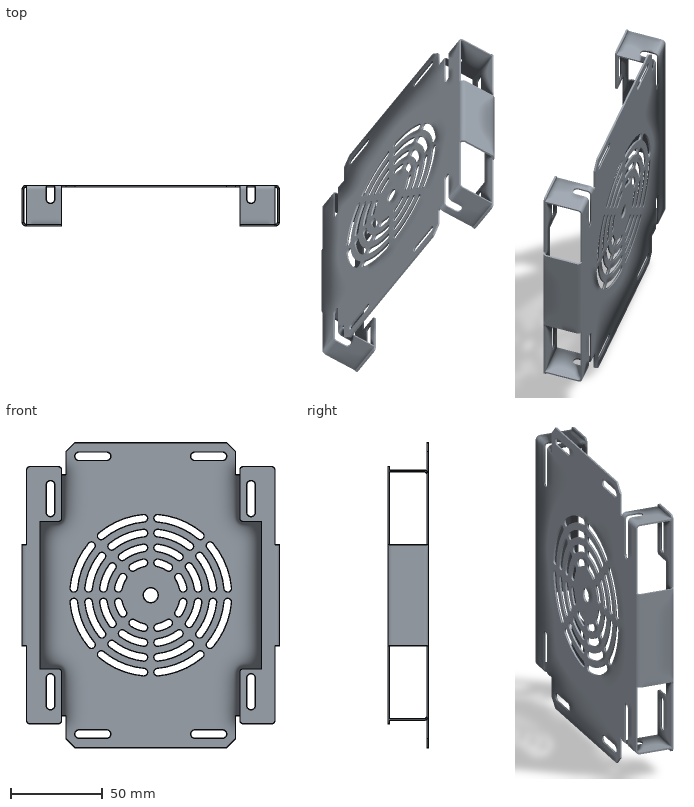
import cadquery as cq
import math

sheet = 1.0
bend_outer = 2.4
bend_inner = bend_outer - sheet

width = 140.0
depth = 22.2
plate_height = 166.0
plate_width = 92.4
plate_chamfer = 5.0

end_flange_height = 136.0
front_flange_height = 140.0
side_wall_height = 55.0
flange_inner_x = -48.4
recess_x = -60.2
recess_height = 80.0
flange_corner_radius = 2.0

bend_x = -(width / 2 - bend_outer)
bend_z = end_flange_height / 2 - bend_outer
flange_width = flange_inner_x - bend_x
flange_inner_y = -(depth - sheet)

centre_hole_diameter = 8.0
vent_ring_count = 4
vent_ring_pitch = 8.0
first_vent_radius = 18.0
vent_width = 4.0
spoke_width = 3.5
vents_per_ring = 8

slot_width = 4.5
slot_straight_length = 15.0
slot_length = slot_straight_length + slot_width
plate_slot_x = 31.5
plate_slot_z = 75.5
flange_slot_x = -54.5
flange_slot_z = 52.5
bent_slot_depth = 9.8


def mirrored(body, plane):
    """A body joined with its mirror image."""
    return body.union(body.mirror(plane))


def arc_point(centre, radius, degrees):
    """Point on a circle in sketch coordinates."""
    angle = math.radians(degrees)
    return centre[0] + radius * math.cos(angle), centre[1] + radius * math.sin(angle)


def back_plate():
    """Plate with chamfered corners, widened between the bends of the side channels."""
    tall_part = (
        cq.Workplane("XZ")
        .rect(plate_width, plate_height)
        .extrude(sheet)
        .edges("|Y")
        .chamfer(plate_chamfer)
    )
    wide_part = cq.Workplane("XZ").rect(-2 * bend_x, 2 * bend_z).extrude(sheet)
    return tall_part.union(wide_part)


def end_flange():
    """Top flange: bends forward off the plate and butts against the front flange."""
    centre = (-bend_outer, bend_z)
    outer_z = bend_z + bend_outer
    inner_z = bend_z + bend_inner
    return (
        cq.Workplane("YZ", origin=(bend_x, 0, 0))
        .moveTo(*arc_point(centre, bend_outer, 0))
        .threePointArc(arc_point(centre, bend_outer, 45), arc_point(centre, bend_outer, 90))
        .lineTo(flange_inner_y, outer_z)
        .lineTo(flange_inner_y, inner_z)
        .lineTo(*arc_point(centre, bend_inner, 90))
        .threePointArc(arc_point(centre, bend_inner, 45), arc_point(centre, bend_inner, 0))
        .close()
        .extrude(flange_width)
    )


def side_wall():
    """Short outer wall with a bend at the plate and a bend at the front flange."""
    back = (bend_x, -bend_outer)
    front = (bend_x, -depth + bend_outer)
    return (
        cq.Workplane("XY", origin=(0, 0, -side_wall_height / 2))
        .moveTo(*arc_point(back, bend_outer, 90))
        .threePointArc(arc_point(back, bend_outer, 135), arc_point(back, bend_outer, 180))
        .lineTo(*arc_point(front, bend_outer, 180))
        .threePointArc(arc_point(front, bend_outer, 225), arc_point(front, bend_outer, 270))
        .lineTo(*arc_point(front, bend_inner, 270))
        .threePointArc(arc_point(front, bend_inner, 225), arc_point(front, bend_inner, 180))
        .lineTo(*arc_point(back, bend_inner, 180))
        .threePointArc(arc_point(back, bend_inner, 135), arc_point(back, bend_inner, 90))
        .close()
        .extrude(side_wall_height)
    )


def front_tab():
    """Upper end of the front flange: a slotted tab with rounded corners."""
    height = (front_flange_height - recess_height) / 2
    centre_z = (front_flange_height + recess_height) / 4
    tab = (
        cq.Workplane("XZ", origin=(bend_x + flange_width / 2, flange_inner_y, centre_z))
        .rect(flange_width, height)
        .extrude(sheet)
    )
    tab = tab.edges("|Y and >Z").fillet(flange_corner_radius)
    tab = tab.edges("|Y and >X and <Z").fillet(flange_corner_radius)
    slot = (
        cq.Workplane("XZ", origin=(flange_slot_x, flange_inner_y, flange_slot_z))
        .slot2D(slot_length, slot_width, 90)
        .extrude(sheet)
    )
    return tab.cut(slot)


def front_strip():
    """Narrow middle of the front flange, joining the two tabs."""
    strip_width = recess_x - bend_x
    return (
        cq.Workplane("XZ", origin=(bend_x + strip_width / 2, flange_inner_y, 0))
        .rect(strip_width, recess_height)
        .extrude(sheet)
    )


def bent_slot():
    """Cutter for the slot that runs up the plate, round the bend and into the end flange."""
    slot_bottom = flange_slot_z - slot_length / 2
    plate_part_length = 2 * (end_flange_height / 2 - slot_bottom)
    plate_part = (
        cq.Workplane("XZ", origin=(flange_slot_x, 0, end_flange_height / 2))
        .slot2D(plate_part_length, slot_width, 90)
        .extrude(bend_outer)
    )
    flange_part = (
        cq.Workplane("XY", origin=(flange_slot_x, 0, bend_z))
        .slot2D(2 * bent_slot_depth, slot_width, 90)
        .extrude(bend_outer)
    )
    return plate_part.union(flange_part)


def plate_slots():
    """Cutters for the four slots near the plate corners."""
    return (
        cq.Workplane("XZ")
        .rect(2 * plate_slot_x, 2 * plate_slot_z, forConstruction=True)
        .vertices()
        .slot2D(slot_length, slot_width)
        .extrude(sheet)
    )


def vent(radius, start_angle):
    """Cutter for one arc slot with round ends, lying between two neighbouring spokes."""
    end_radius = vent_width / 2
    end_offset = math.degrees(math.asin((spoke_width / 2 + end_radius) / radius))
    sector = 360 / vents_per_ring
    first = start_angle + end_offset
    last = start_angle + sector - end_offset
    middle = start_angle + sector / 2
    hub = (0, 0)
    inner = radius - end_radius
    outer = radius + end_radius
    first_tip = arc_point(arc_point(hub, radius, first), end_radius, first - 90)
    last_tip = arc_point(arc_point(hub, radius, last), end_radius, last + 90)
    return (
        cq.Workplane("XZ")
        .moveTo(*arc_point(hub, outer, first))
        .threePointArc(arc_point(hub, outer, middle), arc_point(hub, outer, last))
        .threePointArc(last_tip, arc_point(hub, inner, last))
        .threePointArc(arc_point(hub, inner, middle), arc_point(hub, inner, first))
        .threePointArc(first_tip, arc_point(hub, outer, first))
        .close()
        .extrude(sheet)
    )


def vents():
    """Cutters for the centre hole and the rings of vents around it."""
    cutters = cq.Workplane("XZ").circle(centre_hole_diameter / 2).extrude(sheet)
    for ring in range(vent_ring_count):
        radius = first_vent_radius + ring * vent_ring_pitch
        for index in range(vents_per_ring):
            cutters = cutters.add(vent(radius, index * 360 / vents_per_ring))
    return cutters.combine()


plate = back_plate().cut(plate_slots()).cut(vents())
channel_end = mirrored(end_flange().union(front_tab()), "XY")
channel = channel_end.union(front_strip()).union(side_wall())
bracket = plate.union(mirrored(channel, "YZ"))
result = bracket.cut(mirrored(mirrored(bent_slot(), "XY"), "YZ"))